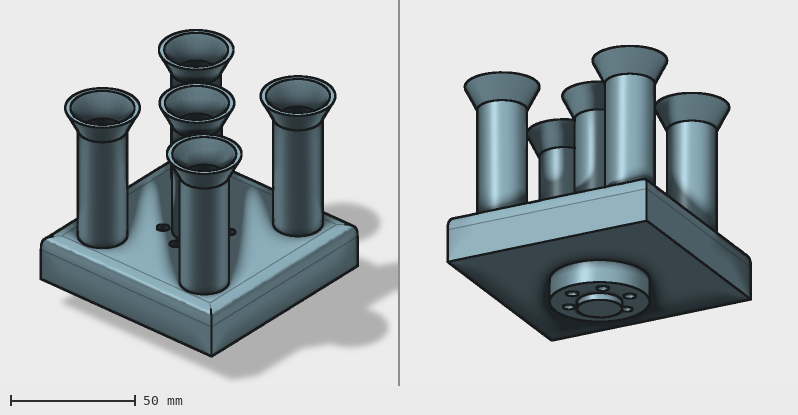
import cadquery as cq

plate_side = 90.0
plate_height = 20.0
edge_blend = 6.0
blend_fullness = 0.83

middle_x = -0.7
middle_y = -0.6
boss_diameter = 40.0
pin_height = 3.0
pin_diameter = 18.0
total_height = 92.6
tube_height = 60.0
boss_height = total_height - tube_height - plate_height - pin_height

tube_diameter = 20.0
bore_diameter = 16.0
flare_height = 10.0
flare_diameter = 30.0
flare_bore_diameter = 25.6
left_x = -27.0
right_x = 26.6
front_y = -28.0
back_y = 29.7
tube_centers = [
    (left_x, front_y),
    (right_x, front_y),
    (left_x, back_y),
    (right_x, back_y),
    (middle_x, middle_y),
]

hole_count = 6
hole_diameter = 5.0
hole_ring_radius = 13.3
hole_start_angle = 33.4
hole_ring_x = -1.1
hole_ring_y = -0.65


def make_blended_bar(plane):
    """Bar with a blended top along both long edges, as long as the plate."""
    half = plate_side / 2
    blend_start = plate_height - edge_blend
    flat_half = half - edge_blend
    handle = edge_blend * blend_fullness
    right_blend = [
        (half, blend_start),
        (half, blend_start + handle),
        (flat_half + handle, plate_height),
        (flat_half, plate_height),
    ]
    left_blend = [(-x, z) for x, z in reversed(right_blend)]
    return (
        cq.Workplane(plane)
        .workplane(offset=-half)
        .moveTo(-half, 0)
        .lineTo(half, 0)
        .lineTo(*right_blend[0])
        .bezier(right_blend)
        .lineTo(*left_blend[0])
        .bezier(left_blend)
        .close()
        .extrude(plate_side)
    )


def make_plate():
    """Crossing two blended bars leaves mitred corners on the top edge."""
    return make_blended_bar("XZ").intersect(make_blended_bar("YZ"))


def make_boss():
    boss = cq.Workplane("XY").circle(boss_diameter / 2).extrude(-boss_height)
    pin = cq.Workplane("XY", origin=(0, 0, -boss_height)).circle(pin_diameter / 2).extrude(-pin_height)
    return boss.union(pin).translate((middle_x, middle_y, 0))


def make_tube(x, y):
    """Tube with a conical mouth; its bore ends at the plate top."""
    flare_start = tube_height - flare_height
    wall_profile = [
        (bore_diameter / 2, 0),
        (tube_diameter / 2, 0),
        (tube_diameter / 2, flare_start),
        (flare_diameter / 2, tube_height),
        (flare_bore_diameter / 2, tube_height),
        (bore_diameter / 2, flare_start),
    ]
    tube = cq.Workplane("XZ").polyline(wall_profile).close().revolve(360, (0, 0, 0), (0, 1, 0))
    return tube.translate((x, y, plate_height))


def make_holes():
    return (
        cq.Workplane("XY", origin=(hole_ring_x, hole_ring_y, -boss_height))
        .polarArray(hole_ring_radius, hole_start_angle, 360, hole_count)
        .circle(hole_diameter / 2)
        .extrude(boss_height + plate_height)
    )


result = make_plate().union(make_boss()).cut(make_holes())
for center_x, center_y in tube_centers:
    result = result.union(make_tube(center_x, center_y))